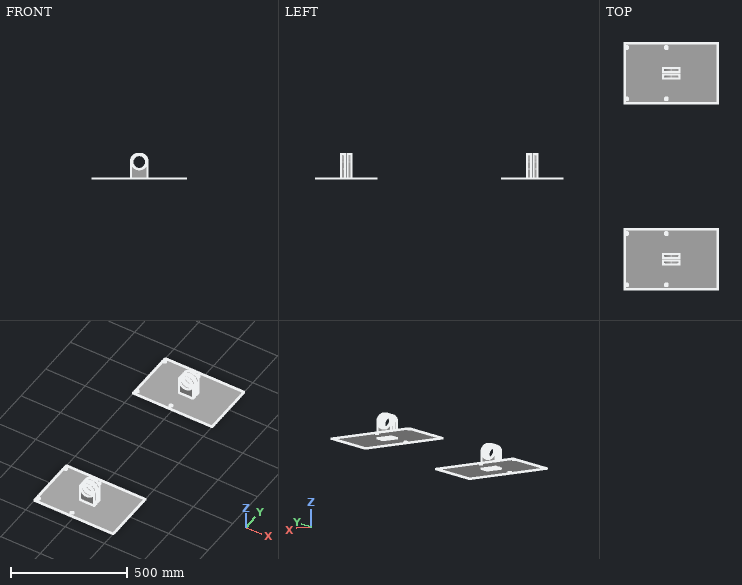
import cadquery as cq

total_length = 1059.0
total_height = 106.0

plate_length = 400.0
plate_width = 259.0
plate_thickness = 1.0

hole_diameter = 10.0
hole_row_spacing = 220.0
first_hole_inset = 8.0
hole_pitch = 170.0

lug_width = 72.0
lug_thickness = 18.0
lug_gap = 10.0
corner_radius = 35.0
bore_diameter = 60.0

bore_height = total_height - corner_radius
lug_pitch = lug_thickness + lug_gap
bracket_pitch = total_length - plate_width


def make_plate():
    """Thin plate lying on Z = 0, with four through holes."""
    first_hole_x = -plate_length / 2 + first_hole_inset
    hole_points = [
        (hole_x, side * hole_row_spacing / 2)
        for hole_x in (first_hole_x, first_hole_x + hole_pitch)
        for side in (-1, 1)
    ]
    plate = cq.Workplane("XY").rect(plate_length, plate_width).extrude(plate_thickness)
    holes = cq.Workplane("XY").pushPoints(hole_points).circle(hole_diameter / 2).extrude(plate_thickness)
    return plate.cut(holes)


def make_lug(center_y):
    """Upright lug with its top corners rounded almost to a half circle and a bore along Y."""
    block = (
        cq.Workplane("XY", origin=(0, center_y, 0))
        .rect(lug_width, lug_thickness)
        .extrude(total_height)
        .edges("|Y and >Z")
        .fillet(corner_radius)
    )
    bore = (
        cq.Workplane("XZ", origin=(0, center_y, 0))
        .center(0, bore_height)
        .circle(bore_diameter / 2)
        .extrude(lug_thickness / 2, both=True)
    )
    return block.cut(bore)


def make_bracket(center_y):
    """One bracket: plate and both lugs as a single solid."""
    bracket = make_plate()
    for side in (-1, 1):
        bracket = bracket.union(make_lug(side * lug_pitch / 2))
    return bracket.translate((0, center_y, 0))


brackets = [make_bracket(side * bracket_pitch / 2) for side in (-1, 1)]

result = cq.Compound.makeCompound([bracket.val() for bracket in brackets])